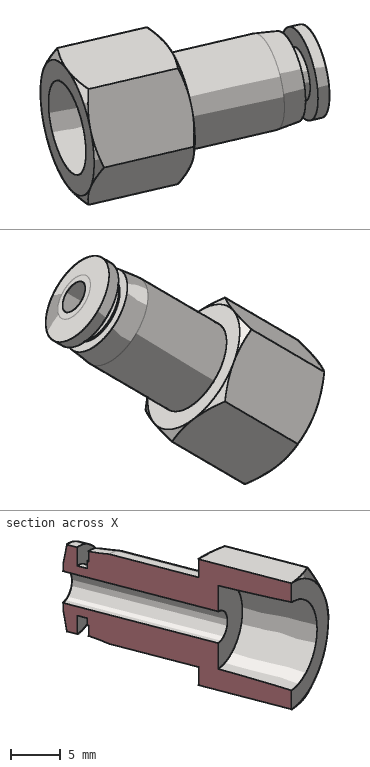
import cadquery as cq
import math

length = 27.05

across_flats = 14.0
hex_length = 11.0
corner_angle = math.radians(30)
corner_radius = across_flats / 2 / math.cos(corner_angle)
corner_drop = (corner_radius - across_flats / 2) * math.tan(corner_angle)

body_radius = 5.0
taper_start = 21.55
shoulder_radius = 4.7
shoulder_end = 24.02
collar_radius = 3.57
collar_end = 24.18

neck_radius = 2.79
button_radius = 4.85
button_start = 25.32
button_rim_end = 26.6
button_face_radius = 2.5

socket_mouth_radius = 4.87
socket_depth = 8.65
diameter_taper = 1 / 16
socket_floor_radius = socket_mouth_radius - socket_depth * diameter_taper / 2
hole_radius = 1.73


def revolve_profile(points):
    """Turn (radius, y) points about the Y axis, closing the outline on the axis."""
    outline = [(0, points[0][1]), *points, (0, points[-1][1])]
    return cq.Workplane("XY").polyline(outline).close().revolve(360, (0, 0), (0, 1))


def make_hexagon():
    """Hexagonal prism with conically chamfered corners at both ends."""
    prism = cq.Workplane("XZ").polygon(6, 2 * corner_radius).extrude(-hex_length)
    chamfer_envelope = revolve_profile([
        (across_flats / 2, 0),
        (corner_radius, corner_drop),
        (corner_radius, hex_length - corner_drop),
        (across_flats / 2, hex_length),
    ])
    return prism.intersect(chamfer_envelope)


def make_barrel():
    """Body, collar, neck and release button turned as one piece."""
    return revolve_profile([
        (body_radius, socket_depth),
        (body_radius, taper_start),
        (shoulder_radius, shoulder_end),
        (collar_radius, shoulder_end),
        (collar_radius, collar_end),
        (neck_radius, collar_end),
        (neck_radius, button_start),
        (button_radius, button_start),
        (button_radius, button_rim_end),
        (button_face_radius, length),
    ])


def make_bore():
    """Tapered socket followed by the through hole."""
    return revolve_profile([
        (socket_mouth_radius, 0),
        (socket_floor_radius, socket_depth),
        (hole_radius, socket_depth),
        (hole_radius, length),
    ])


result = make_hexagon().union(make_barrel()).cut(make_bore())